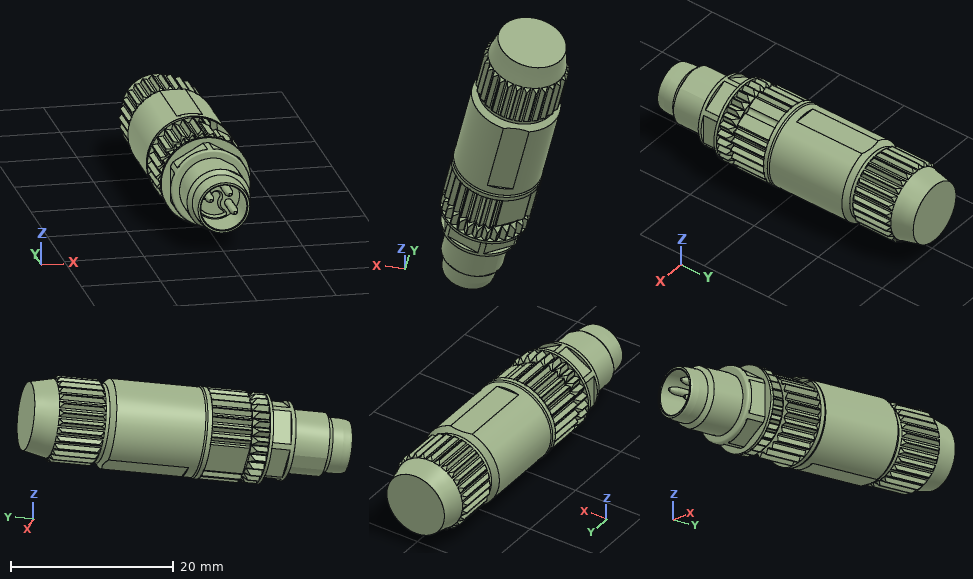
import cadquery as cq
import math

TOTAL_LENGTH = 40.8

LIP_DIAMETER = 6.5
NOSE_FRONT_DIAMETER = 6.72
LIP_CHAMFER_LENGTH = 0.28
NOSE_DIAMETER = 6.9
SLEEVE_DIAMETER = 8.0
NOSE_TAPER_END_Y = 1.2
SLEEVE_CHAMFER_START_Y = 2.55
SLEEVE_CHAMFER = (SLEEVE_DIAMETER - NOSE_DIAMETER) / 2
SLEEVE_FLAT_DISTANCE = 3.89

HEX_SIDES = 6
HEX_DIAMETER = 10.0
HEX_ACROSS_FLATS = 9.0
FLANGE_FRONT_Y = 7.6
FLANGE_THICKNESS = 0.6
FLANGE_FILLET = 0.28

COLLAR_DIAMETER = 11.3
COLLAR_VALLEY_RADIUS = 5.05
COLLAR_ROOT_GAP = 0.1
COLLAR_FRONT_Y = 10.7
COLLAR_RIM_LENGTH = 0.4
COLLAR_BACK_Y = 13.2
COLLAR_CHAMFER = 0.68

NECK_DIAMETER = 8.4

RING_DIAMETER = 11.5
RING_VALLEY_RADIUS = 5.2
RING_FRONT_Y = 13.4
RING_TEETH_END_Y = 18.5
RING_BACK_Y = 19.35
RING_BACK_CHAMFER_LENGTH = 0.23
RING_FLAT_DISTANCE = 4.97
RING_GROOVE_DIAMETER = 1.0
RING_GROOVE_AXIS_RADIUS = 5.15

BODY_DIAMETER = 11.27
BODY_CHAMFER_START_Y = 30.7
BODY_FLAT_DISTANCE = 5.4
BODY_FLAT_FRONT_Y = 20.5
BODY_FLAT_ANGLES = (90.0, 270.0)

NUT_ROOT_DIAMETER = 9.9
NUT_DIAMETER = 10.8
NUT_FRONT_Y = 31.85
NUT_BACK_Y = 37.8
NUT_CHAMFER = (NUT_DIAMETER - NUT_ROOT_DIAMETER) / 2
CABLE_END_DIAMETER = 8.6

TOOTH_COUNT = 28
TOOTH_TIP_WIDTH = 0.1
WIDE_ROOT_GAP = 0.24

KEY_ANGLE = 60.0
FLAT_ANGLES = (KEY_ANGLE, KEY_ANGLE + 180.0)

BORE_DIAMETER = 5.8
BORE_CHAMFER = 0.1
BORE_DEPTH = 4.5
PIN_DIAMETER = 1.0
PIN_TIP_DIAMETER = 0.35
PIN_TIP_LENGTH = 1.05
PIN_TIP_BULGE_DIAMETER = 0.78
PIN_TIP_Y = 0.4
PIN_CIRCLE_RADIUS = 1.75
PIN_SPACING = 90.0
PIN_ANGLES = (KEY_ANGLE - PIN_SPACING, KEY_ANGLE, KEY_ANGLE + PIN_SPACING)

RECESS_RIM_RADIUS = 2.75
RECESS_HUB_RADIUS = 0.78
RECESS_PIN_CLEARANCE = 1.04
RECESS_HUB_HALF_ANGLE = 80.0
RECESS_RIM_HALF_ANGLE = 61.0
RECESS_DEPTH = 0.5
RECESS_WALL_INSET = 0.24
RECESS_CORNER_RADIUS = 0.3
RECESS_WALL_STRAIGHT = 0.001


def polar(radius, angle):
    a = math.radians(angle)
    return (radius * math.cos(a), radius * math.sin(a))


def section_plane(y):
    """XZ workplane at the given y; negative extrusions run towards +Y."""
    return cq.Workplane("XZ", origin=(0, y, 0))


def revolved(profile):
    """Solid of revolution about Y from (radius, y) points, closed along the axis."""
    points = [(0, profile[0][1])] + profile + [(0, profile[-1][1])]
    return cq.Workplane("XY").polyline(points).close().revolve(360, (0, 0, 0), (0, 1, 0))


def toothed_prism(tip_radius, root_radius, root_gap, front_y, back_y):
    """Prism with pointed teeth; the first tooth points along +X."""
    pitch = 360.0 / TOOTH_COUNT
    half_tip = math.degrees(TOOTH_TIP_WIDTH / 2 / tip_radius)
    half_root = pitch / 2 - math.degrees(root_gap / 2 / root_radius)
    points = []
    for tooth in range(TOOTH_COUNT):
        middle = tooth * pitch
        points.append(polar(root_radius, middle - half_root))
        points.append(polar(tip_radius, middle - half_tip))
        points.append(polar(tip_radius, middle + half_tip))
        points.append(polar(root_radius, middle + half_root))
    return section_plane(front_y).polyline(points).close().extrude(front_y - back_y)


def flat_cutter(distance, angle, front_y, back_y):
    """Block that leaves a flat facing the given angle at a distance from the axis."""
    size = RING_DIAMETER
    cutter = cq.Workplane("XY").box(size, back_y - front_y, size, centered=(False, False, True))
    return cutter.translate((distance, front_y, 0)).rotate((0, 0, 0), (0, 1, 0), -angle)


def make_nose():
    sleeve_start_y = SLEEVE_CHAMFER_START_Y + SLEEVE_CHAMFER
    nose = revolved([
        (LIP_DIAMETER / 2, 0),
        (NOSE_FRONT_DIAMETER / 2, LIP_CHAMFER_LENGTH),
        (NOSE_DIAMETER / 2, NOSE_TAPER_END_Y),
        (NOSE_DIAMETER / 2, SLEEVE_CHAMFER_START_Y),
        (SLEEVE_DIAMETER / 2, sleeve_start_y),
        (SLEEVE_DIAMETER / 2, FLANGE_FRONT_Y),
    ])
    for angle in FLAT_ANGLES:
        nose = nose.cut(flat_cutter(SLEEVE_FLAT_DISTANCE, angle, sleeve_start_y, FLANGE_FRONT_Y))
    return nose


def make_hexagon():
    length = COLLAR_FRONT_Y - FLANGE_FRONT_Y
    hexagon = section_plane(FLANGE_FRONT_Y).circle(HEX_DIAMETER / 2).extrude(-length)
    hexagon = hexagon.faces("<Y").edges().fillet(FLANGE_FILLET)
    flats_start_y = FLANGE_FRONT_Y + FLANGE_THICKNESS
    for side in range(HEX_SIDES):
        angle = side * 360.0 / HEX_SIDES
        hexagon = hexagon.cut(flat_cutter(HEX_ACROSS_FLATS / 2, angle, flats_start_y, COLLAR_FRONT_Y))
    return hexagon


def make_collar():
    radius = COLLAR_DIAMETER / 2
    rim_end_y = COLLAR_FRONT_Y + COLLAR_RIM_LENGTH
    rim = section_plane(COLLAR_FRONT_Y).circle(radius).extrude(-COLLAR_RIM_LENGTH)
    envelope = revolved([
        (radius, rim_end_y),
        (radius, COLLAR_BACK_Y - COLLAR_CHAMFER),
        (radius - COLLAR_CHAMFER, COLLAR_BACK_Y),
    ])
    teeth = toothed_prism(radius, COLLAR_VALLEY_RADIUS, COLLAR_ROOT_GAP, rim_end_y, COLLAR_BACK_Y)
    return rim.union(teeth.intersect(envelope))


def make_neck():
    return section_plane(COLLAR_FRONT_Y).circle(NECK_DIAMETER / 2).extrude(COLLAR_FRONT_Y - RING_BACK_Y)


def make_ring():
    radius = RING_DIAMETER / 2
    shoulder = revolved([
        (radius, RING_TEETH_END_Y),
        (radius, RING_BACK_Y - RING_BACK_CHAMFER_LENGTH),
        (BODY_DIAMETER / 2, RING_BACK_Y),
    ])
    ring = toothed_prism(radius, RING_VALLEY_RADIUS, WIDE_ROOT_GAP, RING_FRONT_Y, RING_TEETH_END_Y)
    for angle in FLAT_ANGLES:
        ring = ring.cut(flat_cutter(RING_FLAT_DISTANCE, angle, RING_FRONT_Y, RING_TEETH_END_Y))
    groove = (
        section_plane(RING_FRONT_Y)
        .center(*polar(RING_GROOVE_AXIS_RADIUS, KEY_ANGLE))
        .circle(RING_GROOVE_DIAMETER / 2)
        .extrude(RING_FRONT_Y - RING_TEETH_END_Y)
    )
    return ring.cut(groove).union(shoulder)


def make_body():
    radius = BODY_DIAMETER / 2
    root = NUT_ROOT_DIAMETER / 2
    body = revolved([
        (radius, RING_BACK_Y),
        (radius, BODY_CHAMFER_START_Y),
        (root, BODY_CHAMFER_START_Y + radius - root),
        (root, NUT_BACK_Y),
        (CABLE_END_DIAMETER / 2, TOTAL_LENGTH),
    ])
    for angle in BODY_FLAT_ANGLES:
        body = body.cut(flat_cutter(BODY_FLAT_DISTANCE, angle, BODY_FLAT_FRONT_Y, NUT_FRONT_Y))
    return body


def make_nut_teeth():
    tip = NUT_DIAMETER / 2
    root = NUT_ROOT_DIAMETER / 2
    envelope = revolved([
        (root, NUT_FRONT_Y),
        (tip, NUT_FRONT_Y + NUT_CHAMFER),
        (tip, NUT_BACK_Y - NUT_CHAMFER),
        (root, NUT_BACK_Y),
    ])
    return toothed_prism(tip, root, WIDE_ROOT_GAP, NUT_FRONT_Y, NUT_BACK_Y).intersect(envelope)


def make_bore():
    radius = BORE_DIAMETER / 2
    return revolved([
        (radius + BORE_CHAMFER, 0),
        (radius, BORE_CHAMFER),
        (radius, BORE_DEPTH),
    ])


def make_recess():
    """Socket-floor pocket with sloping walls, symmetric about the key direction."""
    axis = KEY_ANGLE + 180.0

    def on_axis_frame(radius, offset):
        return polar(radius, axis + offset)

    def pin_side_points(side):
        """Hub end, middle and rim-side end of the arc around one pin, then the rim corner."""
        hub_end = on_axis_frame(RECESS_HUB_RADIUS, side * RECESS_HUB_HALF_ANGLE)
        pin = on_axis_frame(PIN_CIRCLE_RADIUS, side * PIN_SPACING)
        end = polar(RECESS_PIN_CLEARANCE, axis)
        middle = polar(RECESS_PIN_CLEARANCE, axis - side * PIN_SPACING / 2)
        arc_end = (pin[0] + end[0], pin[1] + end[1])
        arc_middle = (pin[0] + middle[0], pin[1] + middle[1])
        rim_corner = on_axis_frame(RECESS_RIM_RADIUS, side * RECESS_RIM_HALF_ANGLE)
        return hub_end, arc_middle, arc_end, rim_corner

    hub_a, middle_a, end_a, rim_a = pin_side_points(-1)
    hub_b, middle_b, end_b, rim_b = pin_side_points(1)
    outline = (
        section_plane(BORE_DEPTH)
        .moveTo(*hub_a)
        .threePointArc(middle_a, end_a)
        .lineTo(*rim_a)
        .threePointArc(on_axis_frame(RECESS_RIM_RADIUS, 0), rim_b)
        .lineTo(*end_b)
        .threePointArc(middle_b, hub_b)
        .threePointArc(on_axis_frame(RECESS_HUB_RADIUS, 180), hub_a)
        .close()
    )
    pocket = outline.extrude(-RECESS_DEPTH)
    pocket = pocket.edges("|Y").fillet(RECESS_CORNER_RADIUS)
    return pocket.faces(">Y").chamfer(RECESS_DEPTH - RECESS_WALL_STRAIGHT, RECESS_WALL_INSET)


def make_pin(angle):
    """Round pin with a bullet-shaped tip, rooted in the body below the recess."""
    x, z = polar(PIN_CIRCLE_RADIUS, angle)
    shaft_start_y = PIN_TIP_Y + PIN_TIP_LENGTH
    root_y = BORE_DEPTH + RECESS_DEPTH
    profile = (
        cq.Workplane("XY")
        .moveTo(0, PIN_TIP_Y)
        .lineTo(PIN_TIP_DIAMETER / 2, PIN_TIP_Y)
        .threePointArc(
            (PIN_TIP_BULGE_DIAMETER / 2, PIN_TIP_Y + PIN_TIP_LENGTH / 2),
            (PIN_DIAMETER / 2, shaft_start_y),
        )
        .lineTo(PIN_DIAMETER / 2, root_y)
        .lineTo(0, root_y)
        .close()
    )
    pin = profile.revolve(360, (0, 0, 0), (0, 1, 0))
    return pin.translate((x, 0, z))


result = make_nose()
for section in (make_hexagon(), make_collar(), make_neck(), make_ring(), make_body(), make_nut_teeth()):
    result = result.union(section)
result = result.cut(make_bore()).cut(make_recess())
for pin_angle in PIN_ANGLES:
    result = result.union(make_pin(pin_angle))